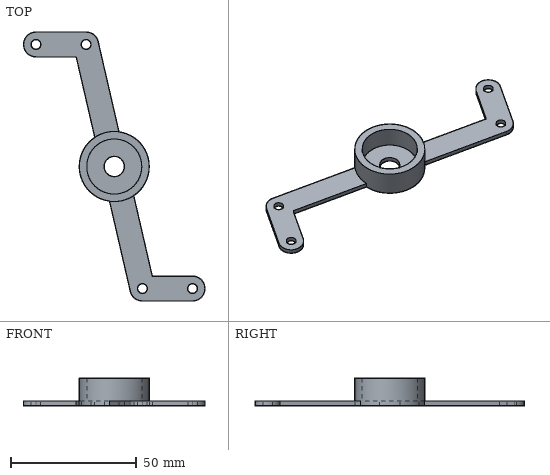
import cadquery as cq
import math

hub_diameter = 28.0
hub_height = 11.0
cup_diameter = 22.0
cup_floor = 2.0
shaft_hole_diameter = 8.0

arm_thickness = 2.0
arm_width = 10.0
arm_length = 50.0
arm_tilt = 13.0
foot_length = 20.0
mount_hole_diameter = 3.8

tilt = math.radians(arm_tilt)
hub_centre = (0.0, 0.0)
elbow = (-arm_length * math.sin(tilt), arm_length * math.cos(tilt))
tip = (elbow[0] - foot_length, elbow[1])


def disc(centre, diameter, height):
    """Cylinder standing on the base plane."""
    return cq.Workplane("XY").center(*centre).circle(diameter / 2).extrude(height)


def straight_bar(start, end):
    """Flat bar of arm width whose centreline runs from start to end."""
    dx = end[0] - start[0]
    dy = end[1] - start[1]
    middle = ((start[0] + end[0]) / 2, (start[1] + end[1]) / 2, 0)
    return (
        cq.Workplane(cq.Plane(origin=middle, xDir=(dx, dy, 0), normal=(0, 0, 1)))
        .rect(math.hypot(dx, dy), arm_width)
        .extrude(arm_thickness)
    )


def make_arm():
    """Arm from the hub to the elbow, with a foot along -X and rounded ends."""
    arm = straight_bar(hub_centre, elbow).union(straight_bar(elbow, tip))
    for hole_centre in (elbow, tip):
        arm = arm.union(disc(hole_centre, arm_width, arm_thickness))
    for hole_centre in (elbow, tip):
        arm = arm.cut(disc(hole_centre, mount_hole_diameter, arm_thickness))
    return arm


def make_body():
    """Solid hub with two arms placed half a turn apart."""
    body = disc(hub_centre, hub_diameter, hub_height)
    arm = make_arm()
    for turn in (0, 180):
        body = body.union(arm.rotate((0, 0, 0), (0, 0, 1), turn))
    return body


def cut_hub(body):
    """Open the cup from the top and drill the shaft hole through its floor."""
    cup = disc(hub_centre, cup_diameter, hub_height - cup_floor).translate((0, 0, cup_floor))
    shaft_hole = disc(hub_centre, shaft_hole_diameter, hub_height)
    return body.cut(cup).cut(shaft_hole)


result = cut_hub(make_body())